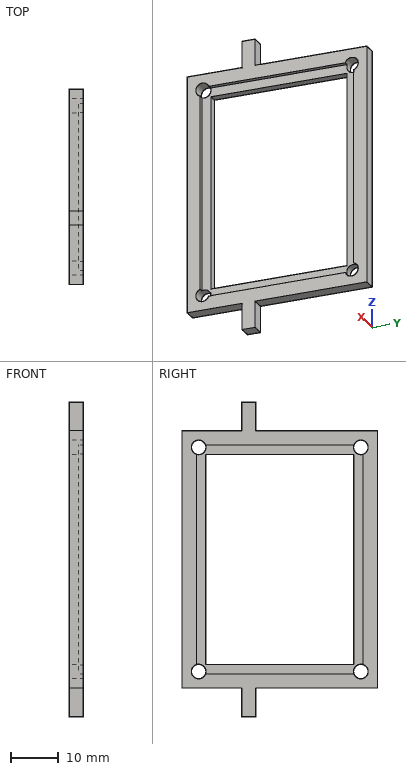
import cadquery as cq

thickness = 3.0
frame_width = 41.0
frame_height = 54.0
border = 5.0

step_depth = 1.0
step_width = 2.0

tab_width = 3.0
tab_length = 6.0
tab_center_y = -6.5

hole_diameter = 3.0
hole_edge_distance = 3.5


def make_frame():
    """Rectangular plate with a window that widens in a step towards +X."""
    window_width = frame_width - 2 * border
    window_height = frame_height - 2 * border
    plate = cq.Workplane("XY").box(thickness, frame_width, frame_height)
    window = cq.Workplane("XY").box(thickness, window_width, window_height)
    step = (
        cq.Workplane("XY")
        .box(step_depth, window_width + 2 * step_width, window_height + 2 * step_width)
        .translate(((thickness - step_depth) / 2, 0, 0))
    )
    return plate.cut(window).cut(step)


def make_tab(side):
    """Tab standing on the top (side = 1) or bottom (side = -1) edge."""
    center_z = side * (frame_height + tab_length) / 2
    return (
        cq.Workplane("XY")
        .box(thickness, tab_width, tab_length)
        .translate((0, tab_center_y, center_z))
    )


def make_corner_holes():
    """Four cylinders along X, one near each frame corner."""
    return (
        cq.Workplane("YZ")
        .rect(
            frame_width - 2 * hole_edge_distance,
            frame_height - 2 * hole_edge_distance,
            forConstruction=True,
        )
        .vertices()
        .circle(hole_diameter / 2)
        .extrude(thickness, both=True)
    )


result = make_frame()
for tab_side in (1, -1):
    result = result.union(make_tab(tab_side))
result = result.cut(make_corner_holes())